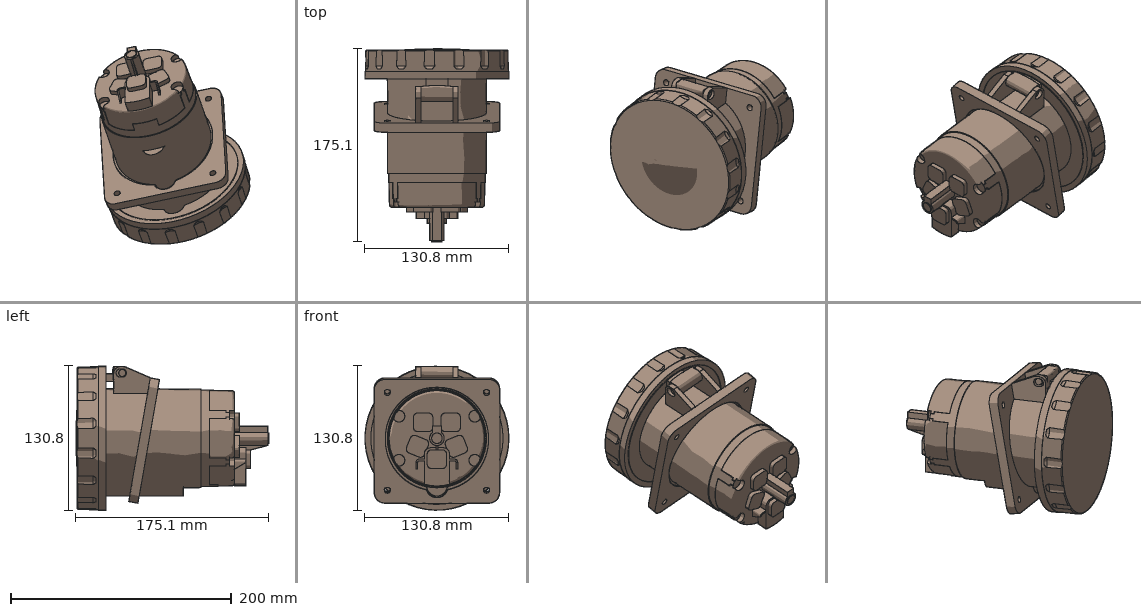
import cadquery as cq
import math

overall_length = 175.14

cap_radius = 130.75 / 2
cap_band_length = 6.9
cap_rear_y = 26.4
cap_grip_radius = 65.0
cap_rear_radius = 64.7
cap_rear_fillet = 1.0
cap_recess_radius = 60.0
cap_recess_depth = 1.0
dome_height = 1.0
dome_radius = 30.0
grip_count = 15
grip_width = 10.6
grip_depth = 1.5
grip_end_depth = 0.4
grip_straight_y = 11.7
grip_end_y = 9.0

body_rear_radius = 45.1
body_front_radius = 44.9
body_front_y = -85.9
ring_radius = 43.85
ring_front_y = -93.8
cup_rear_radius = 43.6
cup_front_radius = 43.2
cup_front_y = -116.6
cup_fillet = 2.8

rib_radius = 9.3
rib_bottom_z = -52.4
rib_center_z = rib_bottom_z + rib_radius
rib_front_y = -70.0
rib_blend_radius = 3.0

plate_size = 114.0
plate_thickness = 8.6
plate_corner_radius = 10.0
plate_tilt = 9.9
plate_center_y = -34.45
plate_center_z = -2.1
plate_hole_spacing = 90.0
plate_hole_diameter = 5.5
opening_radius = 46.8
opening_drop = 1.7
opening_depth = 2.0
opening_rib_clearance = 0.6

ear_outer_x = 19.3
ear_thickness = 4.9
ear_rear_y = -6.9
ear_bottom_z = 40.5
ear_top_z = 64.9
ear_top_front_y = -17.2
ear_foot_y = -40.0
ear_foot_z = 55.0
ear_corner_radius = 6.0
pin_y = -14.6
pin_z = 59.2
pin_radius = 3.2
pin_recess = 2.5
ear_slot_length = 9.4
ear_slot_height = 7.6
barrel_half_width = ear_outer_x - ear_thickness
barrel_radius = 6.0
barrel_crown = 1.0
leaf_fillet = 2.0
arm_width = 19.8
arm_top_z = 58.6
arm_bottom_z = 51.4

screw_x = 34.4
screw_z = 20.0
screw_pocket_radius = 5.3
screw_pocket_depth = 4.8
rail_width = 7.4
rail_front_y = -108.6
rail_center_z = 21.5
neck_width = 4.0
keeper_rail_front_y = -101.5

pad_width = 17.6
pad_length = 17.0
pad_corner_radius = 4.0
pad_height = 4.2
pad_circle_radius = 19.1
pad_top_angles = (49, 131)
pad_side_angles = (-22.5, 202.5)
keeper_width = 22.8
keeper_top_z = -8.6
keeper_corner_radius = 5.5
keeper_height = 10.2
keeper_pad_z = -19.0
wing_outer_x = 18.9
wing_top_z = -18.9
wing_thickness = 1.5
wing_tip_z = -22.0
wing_root_z = -28.0
wing_corner_radius = 3.0
post_radius = 6.6
post_front_y = -146.7
post_tip_radius = 4.8
post_key_width = 8.0
post_key_top_z = 10.9
web_width = 1.8
web_bottom_z = -10.7


def along_y(front_y):
    """Sketch plane facing -Y: local x is +X, local y is +Z; positive extrusion runs toward -Y."""
    return cq.Workplane("XZ", origin=(0, front_y, 0))


def disc(radius, start_y, end_y, x=0, z=0):
    """Cylinder along Y from start_y forward to end_y."""
    return along_y(start_y).center(x, z).circle(radius).extrude(start_y - end_y)


def block(x_min, x_max, y_min, y_max, z_min, z_max):
    """Box between opposite corners."""
    size = (x_max - x_min, y_max - y_min, z_max - z_min)
    return cq.Workplane("XY", origin=(x_min, y_min, z_min)).box(*size, centered=False)


def side_profile(x_start, points):
    """Closed polygon of (Y, Z) points on a plane facing +X."""
    return cq.Workplane("YZ", origin=(x_start, 0, 0)).polyline(points).close()


def make_cap():
    tip_y = cap_rear_y + dome_height
    dome_mid_radius = dome_radius / 2
    sphere_radius = (dome_radius**2 + dome_height**2) / (2 * dome_height)
    dome_mid_y = tip_y - sphere_radius + math.sqrt(sphere_radius**2 - dome_mid_radius**2)
    cap = (
        cq.Workplane("XY")
        .moveTo(0, cap_recess_depth)
        .lineTo(cap_recess_radius, cap_recess_depth)
        .lineTo(cap_recess_radius, 0)
        .lineTo(cap_radius, 0)
        .lineTo(cap_radius, cap_band_length)
        .lineTo(cap_grip_radius, cap_band_length)
        .lineTo(cap_rear_radius, cap_rear_y - cap_rear_fillet)
        .lineTo(cap_rear_radius - cap_rear_fillet, cap_rear_y)
        .lineTo(dome_radius, cap_rear_y)
        .threePointArc((dome_mid_radius, dome_mid_y), (0, tip_y))
        .close()
        .revolve(360, (0, 0, 0), (0, 1, 0))
    )
    scallop_radius = ((grip_width / 2) ** 2 + grip_depth**2) / (2 * grip_depth)
    scallop = (
        cq.Workplane("XY")
        .moveTo(0, grip_end_y)
        .lineTo(scallop_radius - grip_depth + grip_end_depth, grip_end_y)
        .lineTo(scallop_radius, grip_straight_y)
        .lineTo(scallop_radius, cap_rear_y)
        .lineTo(0, cap_rear_y)
        .close()
        .revolve(360, (0, 0, 0), (0, 1, 0))
        .translate((cap_grip_radius - grip_depth + scallop_radius, 0, 0))
    )
    for i in range(grip_count):
        cap = cap.cut(scallop.rotate((0, 0, 0), (0, 1, 0), i * 360 / grip_count))
    return cap


def make_body():
    body = (
        cq.Workplane("XY")
        .moveTo(0, cap_recess_depth)
        .lineTo(body_rear_radius, cap_recess_depth)
        .lineTo(body_front_radius, body_front_y)
        .lineTo(ring_radius, body_front_y)
        .lineTo(ring_radius, ring_front_y)
        .lineTo(0, ring_front_y)
        .close()
        .revolve(360, (0, 0, 0), (0, 1, 0))
    )
    return body.union(make_cup()).union(make_rib())


def make_cup():
    cup = (
        cq.Workplane("XY")
        .moveTo(0, ring_front_y)
        .lineTo(cup_rear_radius, ring_front_y)
        .lineTo(cup_front_radius, cup_front_y)
        .lineTo(0, cup_front_y)
        .close()
        .revolve(360, (0, 0, 0), (0, 1, 0))
    )
    return cup.faces("<Y").edges().fillet(cup_fillet)


def make_rib():
    """Round rib with a concave blend into the body on each side."""
    rib = disc(rib_radius, cap_recess_depth, rib_front_y, z=rib_center_z)
    body_reach = body_front_radius + rib_blend_radius
    rib_reach = rib_radius + rib_blend_radius
    blend_z = (body_reach**2 - rib_reach**2 + rib_center_z**2) / (2 * rib_center_z)
    blend_x = math.sqrt(body_reach**2 - blend_z**2)
    body_share = body_front_radius / body_reach
    rib_share = rib_radius / rib_reach
    body_touch = (blend_x * body_share, blend_z * body_share)
    rib_touch = (blend_x * rib_share, rib_center_z + (blend_z - rib_center_z) * rib_share)
    toward_x = (body_touch[0] + rib_touch[0]) / 2 - blend_x
    toward_z = (body_touch[1] + rib_touch[1]) / 2 - blend_z
    scale = rib_blend_radius / math.hypot(toward_x, toward_z)
    blend_mid = (blend_x + toward_x * scale, blend_z + toward_z * scale)
    blend = (
        along_y(cap_recess_depth)
        .moveTo(0, rib_center_z)
        .lineTo(*body_touch)
        .threePointArc(blend_mid, rib_touch)
        .close()
        .extrude(cap_recess_depth - rib_front_y)
    )
    return rib.union(blend).union(blend.mirror("YZ"))


def make_plate():
    tilt = math.radians(plate_tilt)
    center_z = -plate_center_z + plate_thickness / 2 * math.tan(tilt)
    plate = (
        along_y(plate_thickness / 2)
        .rect(plate_size, plate_size)
        .extrude(plate_thickness)
        .edges("|Y")
        .fillet(plate_corner_radius)
        .faces("<Y")
        .workplane(centerOption="CenterOfBoundBox")
        .rect(plate_hole_spacing, plate_hole_spacing, forConstruction=True)
        .vertices()
        .hole(plate_hole_diameter)
    )
    front_y = -plate_thickness / 2
    floor_y = front_y + opening_depth
    plate = plate.cut(disc(opening_radius, floor_y, front_y, z=center_z))
    plate = plate.cut(disc(opening_radius, floor_y, front_y, z=center_z - opening_drop))
    rib_z = center_z - opening_drop + rib_center_z
    plate = plate.cut(disc(rib_radius + opening_rib_clearance, floor_y, front_y, z=rib_z))
    plate = plate.rotate((0, 0, 0), (1, 0, 0), plate_tilt)
    return plate.translate((0, plate_center_y, plate_center_z))


def make_hinge():
    ear_points = [
        (ear_rear_y, ear_bottom_z),
        (ear_rear_y, ear_top_z),
        (ear_top_front_y, ear_top_z),
        (ear_foot_y, ear_foot_z),
        (ear_foot_y, ear_bottom_z),
    ]
    ear = side_profile(barrel_half_width, ear_points).extrude(ear_thickness)
    ear = ear.edges("|X").edges(">Y").edges(">Z").fillet(ear_corner_radius)
    slot_y = pin_y + (ear_slot_length - ear_slot_height) / 2
    pin_hole = (
        cq.Workplane("YZ", origin=(barrel_half_width, slot_y, pin_z))
        .slot2D(ear_slot_length, ear_slot_height)
        .extrude(ear_thickness)
    )
    pin_length = ear_thickness - pin_recess
    pin = (
        cq.Workplane("YZ", origin=(barrel_half_width, pin_y, pin_z))
        .circle(pin_radius)
        .extrude(pin_length)
    )
    ear = ear.cut(pin_hole).union(pin)

    barrel = (
        cq.Workplane("YZ", origin=(-barrel_half_width, pin_y, pin_z))
        .circle(barrel_radius)
        .extrude(2 * barrel_half_width)
    )
    leaf = (
        cq.Workplane("XY", origin=(0, 0, pin_z - barrel_radius))
        .moveTo(-barrel_half_width, pin_y)
        .lineTo(-barrel_half_width, ear_rear_y)
        .threePointArc((0, ear_rear_y + barrel_crown), (barrel_half_width, ear_rear_y))
        .lineTo(barrel_half_width, pin_y)
        .close()
        .extrude(2 * barrel_radius)
        .faces(">Z")
        .edges(">Y")
        .fillet(leaf_fillet)
    )
    arm = block(-arm_width / 2, arm_width / 2, pin_y, cap_recess_depth, arm_bottom_z, arm_top_z)
    return ear.union(ear.mirror("YZ")).union(barrel).union(leaf).union(arm)


def make_rails():
    """Raised rails and necks on the cup, flush with the ring behind it."""
    pocket_floor_y = cup_front_y + screw_pocket_depth
    reach = ring_radius
    half = keeper_width / 2
    bars = block(-half, half, keeper_rail_front_y, ring_front_y, -reach, 0)
    for width, front_y in ((rail_width, rail_front_y), (neck_width, pocket_floor_y)):
        for side_z in (-rail_center_z, rail_center_z):
            bottom_z = side_z - width / 2
            bars = bars.union(block(-reach, reach, front_y, ring_front_y, bottom_z, bottom_z + width))
    return disc(ring_radius, ring_front_y, pocket_floor_y).intersect(bars)


def cut_screw_pockets(part):
    floor_y = cup_front_y + screw_pocket_depth
    for sx in (-1, 1):
        for sz in (-1, 1):
            pocket = disc(screw_pocket_radius, floor_y, cup_front_y, sx * screw_x, sz * screw_z)
            part = part.cut(pocket)
    return part


def make_pad(base_y, x, z, turn):
    pad = (
        along_y(0)
        .rect(pad_width, pad_length)
        .extrude(pad_height)
        .edges("|Y")
        .fillet(pad_corner_radius)
        .rotate((0, 0, 0), (0, 1, 0), turn)
    )
    return pad.translate((x, base_y, z))


def make_pads():
    """Two upright pads above the post and two turned pads beside it."""
    pads = cq.Workplane("XY")
    for angles, turned in ((pad_top_angles, False), (pad_side_angles, True)):
        for angle in angles:
            x = pad_circle_radius * math.cos(math.radians(angle))
            z = pad_circle_radius * math.sin(math.radians(angle))
            turn = angle if turned else 0
            pads = pads.add(make_pad(cup_front_y, x, z, turn))
    return pads.combine()


def make_keeper():
    """Block below the post, with an extra pad and two bent side wings."""
    front_y = cup_front_y - keeper_height
    half = keeper_width / 2
    keeper = block(-half, half, front_y, cup_front_y, -cup_front_radius, keeper_top_z)
    keeper = keeper.edges("|Y").edges(">Z").fillet(keeper_corner_radius)
    keeper = keeper.intersect(disc(cup_front_radius, cup_front_y, front_y))
    keeper = keeper.union(make_pad(front_y, 0, keeper_pad_z, 0))

    wing_profile = [
        (cup_front_y, wing_top_z),
        (front_y, wing_top_z),
        (front_y, wing_tip_z),
        (cup_front_y, wing_root_z),
    ]
    wings = side_profile(-wing_outer_x, wing_profile).extrude(2 * wing_outer_x)
    wings = wings.edges("|Y").edges(">Z").fillet(wing_corner_radius)
    inner_x = wing_outer_x - wing_thickness
    hollow = block(-inner_x, inner_x, front_y, cup_front_y, wing_root_z, wing_top_z - wing_thickness)
    hollow = hollow.edges("|Y").edges(">Z").fillet(wing_corner_radius - wing_thickness)
    return keeper.union(wings.cut(hollow))


def make_post():
    """Central post with a key on top, a round tip and a thin web down to the keeper."""
    tip_y = cap_rear_y + dome_height - overall_length
    keeper_pad_y = cup_front_y - keeper_height - pad_height
    post = disc(post_radius, cup_front_y, post_front_y)
    post = post.union(disc(post_tip_radius, post_front_y, tip_y))
    half = post_key_width / 2
    post = post.union(block(-half, half, post_front_y, cup_front_y, 0, post_key_top_z))
    web_points = [
        (cup_front_y, 0),
        (post_front_y, 0),
        (post_front_y, -post_radius),
        (keeper_pad_y, web_bottom_z),
        (cup_front_y, web_bottom_z),
    ]
    return post.union(side_profile(-web_width / 2, web_points).extrude(web_width))


shell = make_body().union(make_rails())
shell = cut_screw_pockets(shell)
shell = shell.union(make_cap()).union(make_plate()).union(make_hinge())
result = shell.union(make_pads()).union(make_keeper()).union(make_post())